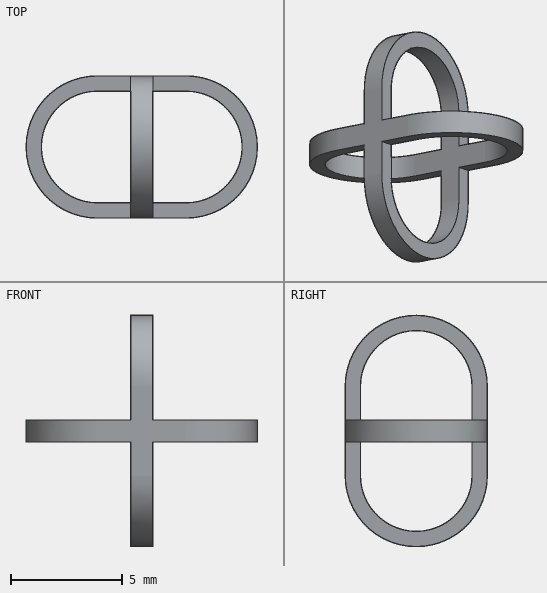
import cadquery as cq

link_length = 10.4
link_width = 6.4
wall = 0.7
thickness = 1.0


def oval_link(plane):
    """Flat oval ring centred on the origin, long along the plane's local x axis."""
    ring = cq.Workplane(plane).slot2D(link_length, link_width).extrude(thickness / 2, both=True)
    opening = (
        cq.Workplane(plane)
        .slot2D(link_length - 2 * wall, link_width - 2 * wall)
        .extrude(thickness / 2, both=True)
    )
    return ring.cut(opening)


horizontal_link = oval_link("XY")
vertical_link = oval_link("ZY")

result = horizontal_link.union(vertical_link)